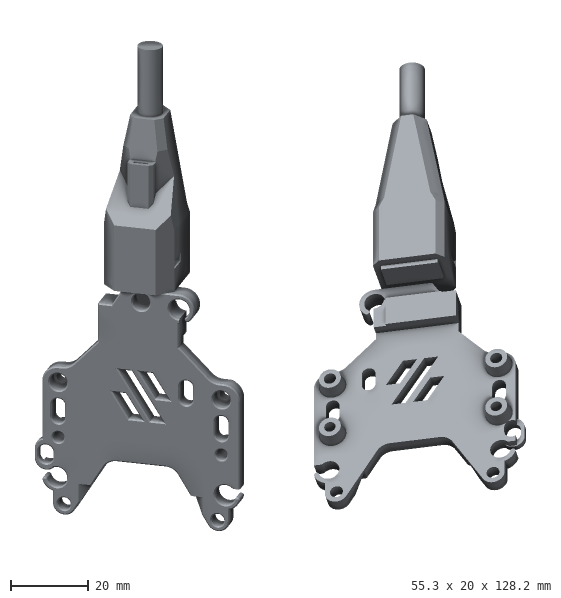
import cadquery as cq
import math


HOUSING_WIDTH = 19.0
HOUSING_DEPTH = 20.0
HOUSING_HEIGHT = 45.0
FRONT_Y = -HOUSING_DEPTH / 2
BACK_Y = HOUSING_DEPTH / 2
FRONT_CHAMFER = 3.9
BACK_CHAMFER = 2.0
TAPER_START_Z = 17.0
TAPER_TOP_HALF_WIDTH = 4.5
TAPER_BACK_CHAMFER = 2.9
BLEND_TOP_Z = 19.8
SHOULDER_Z = 18.2
NECK_FRONT_Y = -2.9
NECK_FLAT_HALF_WIDTH = 3.4
NECK_LEAN_Z = 34.4
NECK_TOP_FRONT_Y = -1.0
NECK_FACET_Z = 36.9
NECK_TOP_CHAMFER = 1.95

TIE_SLOT_BOTTOM_Z = 6.3
TIE_SLOT_HEIGHT = 2.3
TIE_SLOT_BACK_Y = -0.1
TIE_SLOT_FRONT_Y = FRONT_Y + FRONT_CHAMFER
TIE_OUTER_DIAMETER = 10.0
TIE_CORE_DIAMETER = 7.2

CABLE_DIAMETER = 6.6
CABLE_Y = 3.85
CABLE_EXPOSED = 18.6
CABLE_INSERTION = 10.0

CONNECTOR_WIDTH = 15.0
CONNECTOR_BACK_Y = 7.5
CONNECTOR_FRONT_Y = 0.3
CONNECTOR_EXPOSED = 1.1
CONNECTOR_INSERTION = 10.0

CLIP_WIDTH = 7.0
CLIP_FRONT_Y = -6.0
CLIP_CHAMFER = 1.05
CLIP_TOP_Z = 34.1
CLIP_SLOT_WIDTH = 3.9
CLIP_SLOT_THICKNESS = 0.9
CLIP_SLOT_Y = -4.4
CLIP_SLOT_DEPTH = 4.0

TOTAL_HEIGHT = 128.19
TOTAL_WIDTH = 55.34
PLATE_X = 1.0
PLATE_RIGHT_X = TOTAL_WIDTH / 2
PLATE_HALF_WIDTH = PLATE_RIGHT_X - PLATE_X
PLATE_BOTTOM_Z = HOUSING_HEIGHT + CABLE_EXPOSED - TOTAL_HEIGHT
PLATE_FRONT_Y = -8.0
PLATE_THICKNESS = 4.0
PLATE_BACK_Y = PLATE_FRONT_Y + PLATE_THICKNESS
PLATE_EDGE_CHAMFER = 0.35

PAD_BACK_Y = -0.5
PAD_TOP_Z = -4.5
PAD_BOTTOM_Z = -12.8
PAD_LEDGE_Y = -1.5
PAD_RIGHT_X = 8.0
PAD_RIGHT_BACK_Y = -1.3
NECK_BACK_Y = -2.6

NECK_TOP_LEFT_X = -3.9
NECK_STEP_X = -6.9
NECK_STEP_Z = -4.8
NECK_LEFT_X = -10.6
NECK_LEFT_BOTTOM_Z = -15.4
NECK_RIGHT_X = 11.3
NECK_RIGHT_BOTTOM_Z = -14.7

CORNER_TOP_Z = -23.6
CORNER_RADIUS = 4.4
DIAGONAL_END = 19.4
DIAGONAL_FILLET = 4.4
SIDE_BOTTOM_Z = -52.3
LEG_OFFSET = 20.7
LEG_RADIUS = 3.1
LEG_Z = PLATE_BOTTOM_Z + LEG_RADIUS
NOTCH_TOP_Z = -48.2
NOTCH_TOP_HALF_WIDTH = 8.8
NOTCH_FILLET = 4.0
NOTCH_ANGLE = 57.5

HOLE_MIDDLE_X = 0.7
HOLE_OFFSET = 22.0
INSERT_Z = -27.9
INSERT_DIAMETER = 4.7
INSERT_DEPTH = 4.0
SCREW_DIAMETER = 3.2
PIN_HOLE_Z = -43.2
PIN_HOLE_DIAMETER = 3.0
LEG_HOLE_DIAMETER = 3.4
BOSS_BASE_DIAMETER = 7.2
BOSS_TOP_DIAMETER = 5.8

SLOT_WIDTH = 3.6
SLOT_LENGTH = 6.9
SIDE_SLOT_Z = -35.9
THIRD_SLOT_X = 13.2
THIRD_SLOT_Z = -27.1

TOP_INSERT_Z = -3.2

HOOK_INNER_RADIUS = 2.75
HOOK_OUTER_RADIUS = 4.1
HOOK_MID_RADIUS = (HOOK_INNER_RADIUS + HOOK_OUTER_RADIUS) / 2
HOOK_TIP_RADIUS = (HOOK_OUTER_RADIUS - HOOK_INNER_RADIUS) / 2
SIDE_HOOK_OFFSET = 22.7
SIDE_HOOK_Z = -54.3
SIDE_HOOK_TIP_ANGLE = -18
TOP_HOOK_X = NECK_RIGHT_X
TOP_HOOK_Z = -HOOK_OUTER_RADIUS
TOP_HOOK_TIP_ANGLE = -52

EYE_X = -24.65
EYE_Z = -48.25
EYE_WIDTH = 4.0
EYE_LENGTH = 5.2
EYE_THICKNESS = 2.0
EYE_OUTER_WIDTH = 2 * (EYE_X + TOTAL_WIDTH / 2)
EYE_OUTER_LENGTH = 8.8

VENT_WIDTH = 3.7
VENT_SLOPE = 0.645
VENT_TOP_Z = -22.6
VENT_BOTTOM_Z = -36.0
VENT_SHORT_HEIGHT = 7.0
LONG_VENT_X = -5.2
RIGHT_VENT_X = 0.4
LEFT_VENT_X = -6.8

LEG_CUT_OFFSET = 16.8
LEG_CUT_TOP_Z = -55.5


def clipped_rectangle(half_width, front_y, back_y, front_chamfer, back_chamfer):
    """Corner points of a rectangle, cut at 45 degrees at the front and back where a chamfer is given."""
    right = [(half_width, front_y), (half_width, back_y)]
    if front_chamfer:
        right[:1] = [(half_width - front_chamfer, front_y), (half_width, front_y + front_chamfer)]
    if back_chamfer:
        right[-1:] = [(half_width, back_y - back_chamfer), (half_width - back_chamfer, back_y)]
    left = [(-x, y) for x, y in reversed(right)]
    return right + left


def taper_half_width(z):
    share = (z - TAPER_START_Z) / (HOUSING_HEIGHT - TAPER_START_Z)
    return HOUSING_WIDTH / 2 + share * (TAPER_TOP_HALF_WIDTH - HOUSING_WIDTH / 2)


def loft_between(low_z, low_points, high_z, high_points):
    return (
        cq.Workplane("XY", origin=(0, 0, low_z)).polyline(low_points).close()
        .workplane(offset=high_z - low_z).polyline(high_points).close()
        .loft(ruled=True, combine=True)
    )


def side_profile(points, half_width):
    """A prism along X from points given as (Y, Z)."""
    return cq.Workplane("YZ").polyline(points).close().extrude(half_width, both=True)


def housing_envelope():
    """The outside before the front is cut back: an upright block with a leaning upper part."""
    block_points = clipped_rectangle(HOUSING_WIDTH / 2, FRONT_Y, BACK_Y, FRONT_CHAMFER, BACK_CHAMFER)
    block = cq.Workplane("XY").polyline(block_points).close().extrude(HOUSING_HEIGHT)

    def taper_points(z, back_chamfer):
        return clipped_rectangle(taper_half_width(z), FRONT_Y, BACK_Y, 0, back_chamfer)

    foot_points = taper_points(TAPER_START_Z, BACK_CHAMFER)
    blend_points = taper_points(BLEND_TOP_Z, TAPER_BACK_CHAMFER)
    top_points = taper_points(HOUSING_HEIGHT, TAPER_BACK_CHAMFER)
    foot = cq.Workplane("XY").polyline(foot_points).close().extrude(TAPER_START_Z)
    blend = loft_between(TAPER_START_Z, foot_points, BLEND_TOP_Z, blend_points)
    taper = loft_between(BLEND_TOP_Z, blend_points, HOUSING_HEIGHT, top_points)
    return block.intersect(foot.union(blend).union(taper))


def shoulder_keep():
    """Everything below the 45 degree shoulder plane."""
    return side_profile(
        [
            (FRONT_Y, 0),
            (BACK_Y, 0),
            (BACK_Y, SHOULDER_Z + HOUSING_DEPTH),
            (FRONT_Y, SHOULDER_Z),
        ],
        HOUSING_WIDTH,
    )


def neck_keep():
    """The chamfered neck above the shoulder; its side faces come from the housing envelope."""
    lower_chamfer = HOUSING_WIDTH / 2 - NECK_FLAT_HALF_WIDTH
    lower_points = clipped_rectangle(HOUSING_WIDTH / 2, NECK_FRONT_Y, BACK_Y, lower_chamfer, 0)
    lower = cq.Workplane("XY").polyline(lower_points).close().extrude(NECK_FACET_Z)
    lean = (NECK_TOP_FRONT_Y - NECK_FRONT_Y) / (HOUSING_HEIGHT - NECK_LEAN_Z)
    facet_front_y = NECK_FRONT_Y + lean * (NECK_FACET_Z - NECK_LEAN_Z)
    facet_flat_half_width = NECK_FLAT_HALF_WIDTH + facet_front_y - NECK_FRONT_Y
    facet_half_width = taper_half_width(NECK_FACET_Z)
    facet_points = clipped_rectangle(
        facet_half_width, facet_front_y, BACK_Y, facet_half_width - facet_flat_half_width, 0
    )
    top_points = clipped_rectangle(
        TAPER_TOP_HALF_WIDTH, NECK_TOP_FRONT_Y, BACK_Y, NECK_TOP_CHAMFER, 0
    )
    upper = loft_between(NECK_FACET_Z, facet_points, HOUSING_HEIGHT, top_points)
    front = side_profile(
        [
            (NECK_FRONT_Y, 0),
            (BACK_Y, 0),
            (BACK_Y, HOUSING_HEIGHT),
            (NECK_TOP_FRONT_Y, HOUSING_HEIGHT),
            (NECK_FRONT_Y, NECK_LEAN_Z),
        ],
        HOUSING_WIDTH,
    )
    return lower.union(upper).intersect(front)


def tie_slot():
    """A slot from side to side that runs around a round core."""
    depth = TIE_SLOT_BACK_Y - TIE_SLOT_FRONT_Y
    slot_plane = cq.Workplane("XY", origin=(0, 0, TIE_SLOT_BOTTOM_Z))
    middle_y = (TIE_SLOT_BACK_Y + TIE_SLOT_FRONT_Y) / 2
    passage = slot_plane.center(0, middle_y).rect(HOUSING_WIDTH, depth).extrude(TIE_SLOT_HEIGHT)
    core_y = TIE_SLOT_BACK_Y - TIE_OUTER_DIAMETER / 2
    core = slot_plane.center(0, core_y).circle(TIE_CORE_DIAMETER / 2).extrude(TIE_SLOT_HEIGHT)
    return passage.cut(core)


def make_cable():
    return (
        cq.Workplane("XY", origin=(0, CABLE_Y, HOUSING_HEIGHT - CABLE_INSERTION))
        .circle(CABLE_DIAMETER / 2)
        .extrude(CABLE_INSERTION + CABLE_EXPOSED)
    )


def make_connector():
    depth = CONNECTOR_BACK_Y - CONNECTOR_FRONT_Y
    return (
        cq.Workplane("XY", origin=(0, CONNECTOR_FRONT_Y + depth / 2, -CONNECTOR_EXPOSED))
        .rect(CONNECTOR_WIDTH, depth)
        .extrude(CONNECTOR_EXPOSED + CONNECTOR_INSERTION)
    )


def make_housing(cable, connector):
    body = housing_envelope().intersect(shoulder_keep().union(neck_keep()))
    return body.cut(tie_slot()).cut(cable).cut(connector)


def make_clip(housing):
    """A chamfered block between the shoulder and the neck front, slotted from its top."""
    points = clipped_rectangle(CLIP_WIDTH / 2, CLIP_FRONT_Y, NECK_FRONT_Y, CLIP_CHAMFER, 0)
    block = (
        cq.Workplane("XY", origin=(0, 0, SHOULDER_Z)).polyline(points).close()
        .extrude(CLIP_TOP_Z - SHOULDER_Z)
    )
    slot = (
        cq.Workplane("XY", origin=(0, CLIP_SLOT_Y, CLIP_TOP_Z))
        .rect(CLIP_SLOT_WIDTH, CLIP_SLOT_THICKNESS)
        .extrude(-CLIP_SLOT_DEPTH)
    )
    return block.cut(housing).cut(slot)


def plate_plane(back_y):
    """A drawing plane with X across and Z up that extrudes toward the front."""
    return cq.Workplane("XZ", origin=(0, back_y, 0))


def through_plate(sketch):
    return sketch.extrude(PAD_BACK_Y - PLATE_FRONT_Y)


def fillet_at(solid, x, z, radius):
    """Round the front-to-back edge nearest to (x, z)."""
    return solid.edges("|Y").edges(cq.NearestToPointSelector((x, PLATE_BACK_Y, z))).fillet(radius)


def plate_outline():
    """The full-depth outline without hooks and eye, in one depth."""
    left_x = PLATE_X - PLATE_HALF_WIDTH
    right_x = PLATE_RIGHT_X
    angle = math.radians(NOTCH_ANGLE)
    leg_side = LEG_OFFSET - LEG_RADIUS * math.sin(angle)
    leg_side_z = LEG_Z - LEG_RADIUS * math.cos(angle)
    leg_out = LEG_OFFSET + LEG_RADIUS
    outline = (
        plate_plane(PAD_BACK_Y)
        .moveTo(NECK_TOP_LEFT_X, 0)
        .lineTo(NECK_STEP_X, NECK_STEP_Z)
        .lineTo(NECK_LEFT_X, NECK_STEP_Z)
        .lineTo(NECK_LEFT_X, NECK_LEFT_BOTTOM_Z)
        .lineTo(PLATE_X - DIAGONAL_END, CORNER_TOP_Z)
        .lineTo(left_x + CORNER_RADIUS, CORNER_TOP_Z)
        .tangentArcPoint((left_x, CORNER_TOP_Z - CORNER_RADIUS), relative=False)
        .lineTo(left_x, SIDE_BOTTOM_Z)
        .lineTo(PLATE_X - leg_out, SIDE_HOOK_Z)
        .lineTo(PLATE_X - leg_out, LEG_Z)
        .threePointArc(
            (PLATE_X - LEG_OFFSET, PLATE_BOTTOM_Z), (PLATE_X - leg_side, leg_side_z)
        )
        .lineTo(PLATE_X - NOTCH_TOP_HALF_WIDTH, NOTCH_TOP_Z)
        .lineTo(PLATE_X + NOTCH_TOP_HALF_WIDTH, NOTCH_TOP_Z)
        .lineTo(PLATE_X + leg_side, leg_side_z)
        .threePointArc(
            (PLATE_X + LEG_OFFSET, PLATE_BOTTOM_Z), (PLATE_X + leg_out, LEG_Z)
        )
        .lineTo(PLATE_X + leg_out, SIDE_HOOK_Z)
        .lineTo(right_x, SIDE_BOTTOM_Z)
        .lineTo(right_x, CORNER_TOP_Z - CORNER_RADIUS)
        .tangentArcPoint((right_x - CORNER_RADIUS, CORNER_TOP_Z), relative=False)
        .lineTo(PLATE_X + DIAGONAL_END, CORNER_TOP_Z)
        .lineTo(NECK_RIGHT_X, NECK_RIGHT_BOTTOM_Z)
        .lineTo(NECK_RIGHT_X, 0)
        .close()
    )
    solid = through_plate(outline)
    for side in (-1, 1):
        solid = fillet_at(solid, PLATE_X + side * NOTCH_TOP_HALF_WIDTH, NOTCH_TOP_Z, NOTCH_FILLET)
        solid = fillet_at(solid, PLATE_X + side * DIAGONAL_END, CORNER_TOP_Z, DIAGONAL_FILLET)
    return solid


def disc(x, z, radius):
    return through_plate(plate_plane(PAD_BACK_Y).center(x, z).circle(radius))


def open_hook(plate, x, z, tip_angle, mouth_points, back_y):
    """Turn a disc of the plate into an open ring: bore it, cut its mouth and round its tip."""
    flare = (
        plate_plane(PLATE_FRONT_Y).center(x, z)
        .circle(HOOK_INNER_RADIUS + PLATE_EDGE_CHAMFER)
        .extrude(-PLATE_EDGE_CHAMFER, taper=45)
    )
    mouth = through_plate(plate_plane(PAD_BACK_Y).center(x, z).polyline(mouth_points).close())
    angle = math.radians(tip_angle)
    tip = (
        plate_plane(back_y)
        .center(x + HOOK_MID_RADIUS * math.cos(angle), z + HOOK_MID_RADIUS * math.sin(angle))
        .circle(HOOK_TIP_RADIUS)
        .extrude(back_y - PLATE_FRONT_Y)
        .faces("<Y").chamfer(PLATE_EDGE_CHAMFER)
    )
    return plate.cut(mouth).cut(disc(x, z, HOOK_INNER_RADIUS)).cut(flare).union(tip)


def open_side_hook(plate, side):
    """The hook on the lower edge; side is -1 on the left and 1 on the right."""
    reach = side * 2 * HOOK_OUTER_RADIUS
    tip_slope = math.tan(math.radians(SIDE_HOOK_TIP_ANGLE))
    upper_z = SIDE_BOTTOM_Z - SIDE_HOOK_Z
    mouth_points = [(0, 0), (reach, abs(reach) * tip_slope), (reach, upper_z), (0, upper_z)]
    tip_angle = SIDE_HOOK_TIP_ANGLE if side > 0 else 180 - SIDE_HOOK_TIP_ANGLE
    x = PLATE_X + side * SIDE_HOOK_OFFSET
    return open_hook(plate, x, SIDE_HOOK_Z, tip_angle, mouth_points, PLATE_BACK_Y)


def open_top_hook(plate):
    """The hook at the upper right, with its mouth at the bottom."""
    reach = 2 * HOOK_OUTER_RADIUS
    angle = math.radians(TOP_HOOK_TIP_ANGLE)
    mouth_points = [
        (0, 0),
        (reach * math.cos(angle), reach * math.sin(angle)),
        (0, reach * math.sin(angle)),
    ]
    return open_hook(plate, TOP_HOOK_X, TOP_HOOK_Z, TOP_HOOK_TIP_ANGLE, mouth_points, NECK_BACK_Y)


def plate_depth_profile():
    """The plate seen along X: thin below, with a pad and a thinner neck at the top."""
    ledge_rise = PAD_LEDGE_Y - NECK_BACK_Y
    return side_profile(
        [
            (PLATE_FRONT_Y, PLATE_BOTTOM_Z),
            (PLATE_BACK_Y, PLATE_BOTTOM_Z),
            (PLATE_BACK_Y, PAD_BOTTOM_Z),
            (PAD_BACK_Y, PAD_BOTTOM_Z),
            (PAD_BACK_Y, PAD_TOP_Z),
            (PAD_LEDGE_Y, PAD_TOP_Z),
            (NECK_BACK_Y, PAD_TOP_Z + ledge_rise),
            (NECK_BACK_Y, 0),
            (PLATE_FRONT_Y, 0),
        ],
        TOTAL_WIDTH,
    )


def pad_relief(from_x, back_y):
    """A cutter that lowers the pad to back_y everywhere to the right of from_x."""
    return (
        cq.Workplane("XY", origin=(from_x, back_y, PAD_BOTTOM_Z))
        .rect(TOTAL_WIDTH, HOUSING_DEPTH, centered=False)
        .extrude(-PAD_BOTTOM_Z)
    )


def oblong(x, z, width, length):
    return plate_plane(PAD_BACK_Y).center(x, z).slot2D(length, width, 90)


def vent(x, top_z, height):
    """A slanted opening; x is its upper left corner."""
    run = VENT_SLOPE * height
    return through_plate(
        plate_plane(PAD_BACK_Y).polyline(
            [
                (x, top_z),
                (x + VENT_WIDTH, top_z),
                (x + VENT_WIDTH + run, top_z - height),
                (x + run, top_z - height),
            ]
        ).close()
    )


def boss(x, z):
    height = PAD_BACK_Y - PLATE_BACK_Y
    return (
        plate_plane(PAD_BACK_Y).center(x, z).circle(BOSS_TOP_DIAMETER / 2)
        .workplane(offset=height).circle(BOSS_BASE_DIAMETER / 2)
        .loft(combine=True)
    )


def insert_bore(x, z):
    return (
        plate_plane(PLATE_FRONT_Y + INSERT_DEPTH).center(x, z)
        .circle(INSERT_DIAMETER / 2).extrude(INSERT_DEPTH)
    )


def add_eye(plate):
    """A thin oblong lobe with an oblong opening on the lower left edge."""
    lobe = (
        plate_plane(PLATE_FRONT_Y + EYE_THICKNESS).center(EYE_X, EYE_Z)
        .slot2D(EYE_OUTER_LENGTH, EYE_OUTER_WIDTH, 90).extrude(EYE_THICKNESS)
        .faces("<Y").chamfer(PLATE_EDGE_CHAMFER)
    )
    plate = plate.union(lobe)
    plate = plate.cut(through_plate(oblong(EYE_X, EYE_Z, EYE_WIDTH, EYE_LENGTH)))
    flare = (
        plate_plane(PLATE_FRONT_Y).center(EYE_X, EYE_Z)
        .slot2D(EYE_LENGTH + 2 * PLATE_EDGE_CHAMFER, EYE_WIDTH + 2 * PLATE_EDGE_CHAMFER, 90)
        .extrude(-PLATE_EDGE_CHAMFER, taper=45)
    )
    return plate.cut(flare)


def leg_cut(side):
    """A wedge that slopes back toward the notch from an upright line on the front face."""
    edge_x = PLATE_X + side * LEG_CUT_OFFSET
    inner_x = edge_x - side * PLATE_THICKNESS
    return (
        cq.Workplane("XY", origin=(0, 0, PLATE_BOTTOM_Z))
        .polyline([(edge_x, PLATE_FRONT_Y), (inner_x, PLATE_FRONT_Y), (inner_x, PLATE_BACK_Y)])
        .close()
        .extrude(LEG_CUT_TOP_Z - PLATE_BOTTOM_Z)
    )


def make_plate():
    plate = plate_outline()
    for side in (-1, 1):
        plate = plate.union(disc(PLATE_X + side * SIDE_HOOK_OFFSET, SIDE_HOOK_Z, HOOK_OUTER_RADIUS))
    plate = plate.union(disc(TOP_HOOK_X, TOP_HOOK_Z, HOOK_OUTER_RADIUS))
    plate = plate.intersect(plate_depth_profile())
    plate = plate.cut(pad_relief(PAD_RIGHT_X, PAD_RIGHT_BACK_Y))
    plate = plate.cut(pad_relief(NECK_RIGHT_X, NECK_BACK_Y))

    for side in (-1, 1):
        hole_x = HOLE_MIDDLE_X + side * HOLE_OFFSET
        plate = plate.union(boss(hole_x, INSERT_Z)).union(boss(hole_x, PIN_HOLE_Z))
        plate = plate.cut(disc(hole_x, INSERT_Z, SCREW_DIAMETER / 2))
        plate = plate.cut(insert_bore(hole_x, INSERT_Z))
        plate = plate.cut(disc(hole_x, PIN_HOLE_Z, PIN_HOLE_DIAMETER / 2))
        plate = plate.cut(disc(PLATE_X + side * LEG_OFFSET, LEG_Z, LEG_HOLE_DIAMETER / 2))
        plate = plate.cut(through_plate(oblong(hole_x, SIDE_SLOT_Z, SLOT_WIDTH, SLOT_LENGTH)))
    plate = plate.cut(through_plate(oblong(THIRD_SLOT_X, THIRD_SLOT_Z, SLOT_WIDTH, SLOT_LENGTH)))
    plate = plate.cut(insert_bore(PLATE_X, TOP_INSERT_Z))

    plate = plate.cut(vent(LONG_VENT_X, VENT_TOP_Z, VENT_TOP_Z - VENT_BOTTOM_Z))
    plate = plate.cut(vent(RIGHT_VENT_X, VENT_TOP_Z, VENT_SHORT_HEIGHT))
    plate = plate.cut(vent(LEFT_VENT_X, VENT_BOTTOM_Z + VENT_SHORT_HEIGHT, VENT_SHORT_HEIGHT))

    plate = plate.faces("<Y").chamfer(PLATE_EDGE_CHAMFER)
    plate = open_top_hook(plate)
    for side in (-1, 1):
        plate = open_side_hook(plate, side)
        plate = plate.cut(leg_cut(side))
    return add_eye(plate)


cable = make_cable()
connector = make_connector()
housing = make_housing(cable, connector)
clip = make_clip(housing)
plate = make_plate()

result = cq.Compound.makeCompound(
    [
        *plate.solids().vals(),
        *housing.solids().vals(),
        *cable.vals(),
        *connector.vals(),
        *clip.solids().vals(),
    ]
)